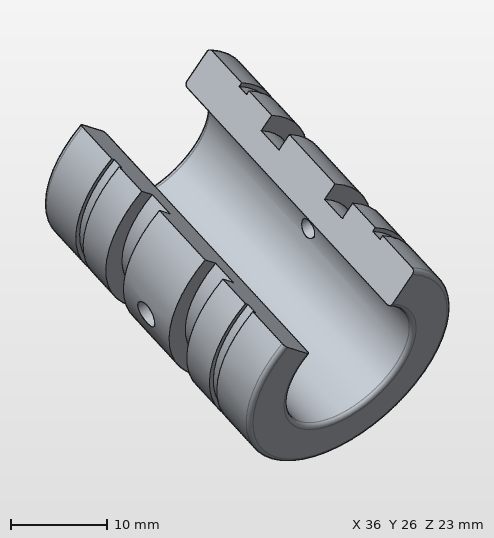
import cadquery as cq
import math

length = 36.0
outer_radius = 13.0
bore_radius = 8.0
edge_round = 0.5
opening_angle = 80.0

wide_groove_radius = 10.9
wide_groove_width = 3.1
middle_land_width = 8.0
narrow_groove_radius = 12.5
narrow_groove_width = 1.3
narrow_groove_offset = 11.7

front_hole_diameter = 3.0
rear_hole_diameter = 2.2
rear_hole_z = -1.5

clearance = 1.8
half_length = length / 2


def ring(center_x, width, inner_radius, ring_outer_radius):
    """Ring around the X axis, centered at center_x."""
    return (
        cq.Workplane("YZ", origin=(center_x - width / 2, 0, 0))
        .circle(ring_outer_radius)
        .circle(inner_radius)
        .extrude(width)
    )


def wedge():
    """Radial-sided gap that opens the sleeve toward +Z."""
    height = outer_radius + clearance
    half_width = height * math.tan(math.radians(opening_angle / 2))
    return (
        cq.Workplane("YZ", origin=(-half_length - clearance, 0, 0))
        .polyline([(0, 0), (half_width, height), (-half_width, height)])
        .close()
        .extrude(length + 2 * clearance)
    )


def cross_hole(diameter, z, y_side):
    """Hole along Y from the sleeve axis out through one wall."""
    depth = outer_radius + clearance
    direction = cq.Vector(0, y_side, 0)
    return cq.Workplane(cq.Solid.makeCylinder(diameter / 2, depth, cq.Vector(0, 0, z), direction))


result = ring(0, length, bore_radius, outer_radius).faces("<X or >X").edges().fillet(edge_round)

wide_groove_offset = (middle_land_width + wide_groove_width) / 2
cutter_radius = outer_radius + clearance
for side in (-1, 1):
    result = result.cut(ring(side * wide_groove_offset, wide_groove_width, wide_groove_radius, cutter_radius))
    result = result.cut(
        ring(side * narrow_groove_offset, narrow_groove_width, narrow_groove_radius, cutter_radius)
    )

result = result.cut(wedge())

result = result.cut(cross_hole(front_hole_diameter, 0, -1))
result = result.cut(cross_hole(rear_hole_diameter, rear_hole_z, 1))